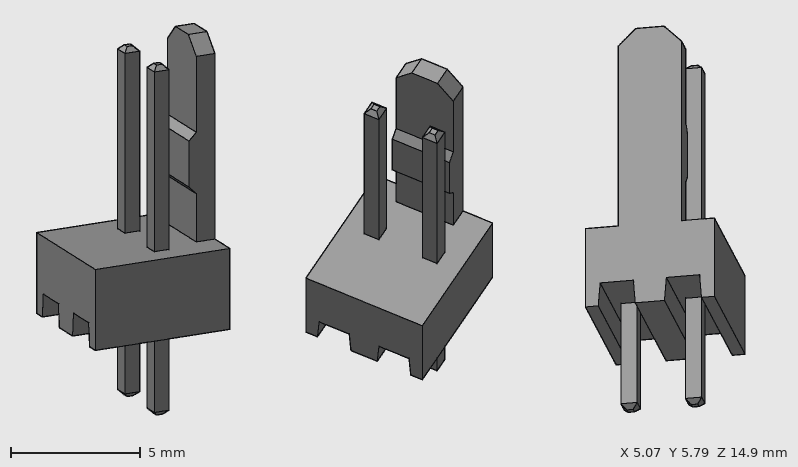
import cadquery as cq

total_height = 14.92

housing_width = 5.07
housing_depth = 5.79
housing_bottom = 3.43
housing_top = 6.71

slot_roof = 4.39
foot_width = 0.5
middle_foot_width = 1.15
slot_taper = 0.07
slot_mouth = (housing_width - 2 * foot_width - middle_foot_width) / 2
slot_offset = (middle_foot_width + slot_mouth) / 2

tab_width = 2.49
tab_thickness = 0.8
tab_corner = 0.69
ridge_height = 0.31
ridge_bottom = 8.67
ridge_top = 11.16

pin_pitch = 2.54
pin_width = 0.64
pin_tip = 0.2
pin_top = 14.19
pin_y = -2.46
pin_positions = [-pin_pitch / 2, pin_pitch / 2]


def make_pin(x):
    """Square pin with both ends chamfered on all four sides."""
    return (
        cq.Workplane("XY")
        .center(x, pin_y)
        .rect(pin_width, pin_width)
        .extrude(pin_top)
        .faces("<Z or >Z")
        .chamfer(pin_tip)
    )


def make_slot(x):
    """Slot cutter, wider at the mouth, running the full housing depth."""
    half_mouth = slot_mouth / 2
    half_roof = half_mouth - slot_taper
    return (
        cq.Workplane("XZ")
        .moveTo(x - half_mouth, housing_bottom)
        .lineTo(x + half_mouth, housing_bottom)
        .lineTo(x + half_roof, slot_roof)
        .lineTo(x - half_roof, slot_roof)
        .close()
        .extrude(housing_depth)
    )


def make_tab():
    """Locking tab with chamfered top corners and a ridge on its front."""
    ridge_face = -tab_thickness - ridge_height
    profile = [
        (0, housing_top),
        (-tab_thickness, housing_top),
        (-tab_thickness, ridge_bottom),
        (ridge_face, ridge_bottom + ridge_height),
        (ridge_face, ridge_top - ridge_height),
        (-tab_thickness, ridge_top),
        (-tab_thickness, total_height),
        (0, total_height),
    ]
    tab = cq.Workplane("YZ").polyline(profile).close().extrude(tab_width / 2, both=True)
    return tab.faces(">Z").edges("|Y").chamfer(tab_corner)


def make_housing():
    """Block and locking tab, with slots and pin holes cut out."""
    housing = (
        cq.Workplane("XY", origin=(0, -housing_depth / 2, housing_bottom))
        .rect(housing_width, housing_depth)
        .extrude(housing_top - housing_bottom)
        .union(make_tab())
    )
    for side in (-1, 1):
        housing = housing.cut(make_slot(side * slot_offset))
    for x in pin_positions:
        housing = housing.cut(make_pin(x))
    return housing


housing = make_housing()
pins = [make_pin(x) for x in pin_positions]

result = cq.Compound.makeCompound([housing.solids().val(), *[pin.solids().val() for pin in pins]])